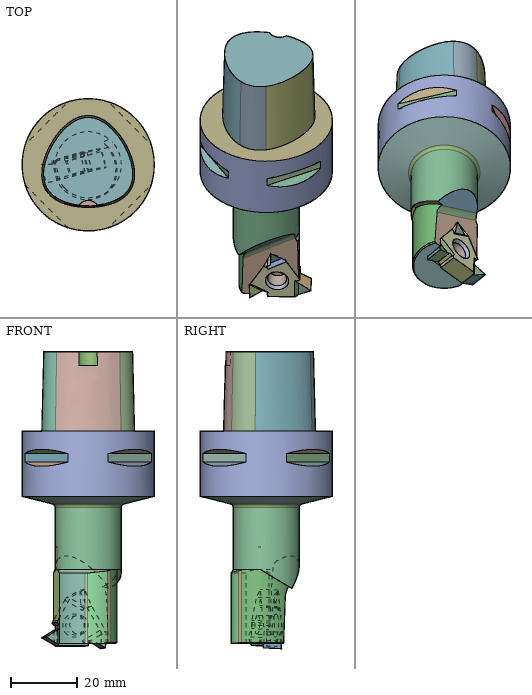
import cadquery as cq
import math

OVERALL_LENGTH = 89.6
SHANK_HEIGHT = 23.9
LOWEST_Z = SHANK_HEIGHT - OVERALL_LENGTH

SHANK_MEAN_RADIUS = 13.9
SHANK_LOBE_HEIGHT = 1.0
SHANK_TAPER = 1 / 40
LOBE_COUNT = 3
LOBE_HALF_ANGLE = 20
LOBE_ANGLE = 90
SPLINE_SPANS = 8
KEYWAY_RADIUS = 3.3
KEYWAY_TOP_Y = -10.8
KEYWAY_LENGTH = 4.1

FLANGE_RADIUS = 40.0 / 2
FLANGE_HEIGHT = 19.7
CONE_HEIGHT = 2.5
NECK_RADIUS = 20.0 / 2
NECK_FILLET = 1.1
GROOVE_COUNT = 4
GROOVE_START_ANGLE = 45
GROOVE_Z = -8.1
GROOVE_FLOOR_RADIUS = 17.75
GROOVE_FLOOR_HEIGHT = 2.5
GROOVE_WALL_ANGLE = 30

HEAD_RADIUS = 10.6
HEAD_TOP_Z = -41.8
HEAD_CHAMFER_HEIGHT = 1.1
HEAD_BOTTOM_Z = -64.1
TILT = 15
FLAT_DISTANCE = 9.95
FLAT_TOP_Z = -35.0
RELIEF_CENTER = (-1.3, -1.5)
RELIEF_RADIUS = 10.0
RELIEF_SLOPE_START_Y = -1.8
RELIEF_SLOPE = 0.6
RELIEF_BOTTOM_CHAMFER = 0.4
NECK_BOTTOM_Z = -49.3
MAIN_ARC_ANGLE = 240
FIRST_LAND_ANGLE = 265
SIDE_ARC = ((-0.2, -10.6), (3.0, -9.95), (5.8, -8.4))
SECOND_LAND_ANGLE = -36
RELIEF_ARC_END_ANGLE = 70
CLEARED_ARC_ANGLE = 130

LEAN = 2.5
INSERT_CENTER_S = -3.4
INSERT_CENTER_N = 3.85
INSERT_THICKNESS = 5.7
INSERT_HOLE_DIAMETER = 5.7
COUNTERSINK_DIAMETER = 7.0
COUNTERSINK_ANGLE = 60
TIP_COUNT = 3
TIP = (-10.2, -3.7)
TIP_ROOT_X = -6.0
TIP_UPPER_ROOT_Y = -1.2
TIP_LOWER_ROOT_Y = -6.3
NOTCH_Y = -0.1
SHOULDER_END = (-6.9, 0.7)
BREAKER_LENGTH = 3.8
BREAKER_DEPTH = 0.9
BREAKER_BACK = 1.2
POCKET_WALL_OFFSET = 13.8
POCKET_WALL_SLOPE = 29
POCKET_FILLET = 3.1
POCKET_FLOOR_RISE = -0.1
CUT = 35.9


def turned(point, angle):
    """Rotate a 2D point about the origin by an angle in degrees."""
    c = math.cos(math.radians(angle))
    s = math.sin(math.radians(angle))
    return (point[0] * c - point[1] * s, point[0] * s + point[1] * c)


def rake_plane():
    """Local X runs along the rake face, local Y up, local Z into the holder."""
    lowest_tip_drop = -turned(TIP, 360 / TIP_COUNT)[1] * math.cos(math.radians(LEAN))
    insert_center_z = LOWEST_Z + lowest_tip_drop
    along = turned((1, 0), TILT)
    center = turned((INSERT_CENTER_S, INSERT_CENTER_N), TILT)
    into = turned((0, -math.cos(math.radians(LEAN))), TILT)
    return cq.Plane(
        origin=(*center, insert_center_z),
        xDir=(*along, 0),
        normal=(*into, math.sin(math.radians(LEAN))),
    )


def shank_wire(z):
    """Three-lobed outline at height z, split where lobes and flanks meet."""
    radius = SHANK_MEAN_RADIUS - z * SHANK_TAPER

    def point(degrees):
        t = math.radians(degrees)
        x = radius * math.cos(t) - SHANK_LOBE_HEIGHT * math.sin(2 * t)
        y = radius * math.sin(t) - SHANK_LOBE_HEIGHT * math.cos(2 * t)
        return cq.Vector(x, y, z)

    pitch = 360 / LOBE_COUNT
    edges = []
    for i in range(LOBE_COUNT):
        lobe_start = LOBE_ANGLE + i * pitch - LOBE_HALF_ANGLE
        lobe_end = lobe_start + 2 * LOBE_HALF_ANGLE
        next_start = lobe_start + pitch
        for start, end in ((lobe_start, lobe_end), (lobe_end, next_start)):
            points = [point(start + (end - start) * k / SPLINE_SPANS) for k in range(SPLINE_SPANS + 1)]
            edges.append(cq.Edge.makeSpline(points))
    return cq.Wire.assembleEdges(edges)


def shank():
    """Tapered shank with a round keyway at its top edge."""
    body = cq.Workplane(cq.Solid.makeLoft([shank_wire(0), shank_wire(SHANK_HEIGHT)], True))
    keyway = (
        cq.Workplane("XY", origin=(0, KEYWAY_TOP_Y - KEYWAY_RADIUS, SHANK_HEIGHT))
        .circle(KEYWAY_RADIUS)
        .extrude(-KEYWAY_LENGTH)
    )
    return body.cut(keyway)


def flange_and_neck():
    cone_bottom = -FLANGE_HEIGHT - CONE_HEIGHT
    body = (
        cq.Workplane("XZ")
        .moveTo(0, 0)
        .lineTo(FLANGE_RADIUS, 0)
        .lineTo(FLANGE_RADIUS, -FLANGE_HEIGHT)
        .lineTo(NECK_RADIUS, cone_bottom)
        .lineTo(NECK_RADIUS, NECK_BOTTOM_Z)
        .lineTo(0, NECK_BOTTOM_Z)
        .close()
        .revolve(360, (0, 0, 0), (0, 1, 0))
    )
    cone_bottom_edge = cq.selectors.NearestToPointSelector((0, 0, cone_bottom))
    body = body.edges("%CIRCLE").edges(cone_bottom_edge).fillet(NECK_FILLET)
    for i in range(GROOVE_COUNT):
        body = body.cut(grip_groove(GROOVE_START_ANGLE + i * 360 / GROOVE_COUNT))
    return body


def grip_groove(angle):
    """Straight flat-bottomed groove with flared walls, across the flange rim."""
    depth = FLANGE_RADIUS - GROOVE_FLOOR_RADIUS
    floor_half = GROOVE_FLOOR_HEIGHT / 2
    rim_half = floor_half + depth * math.tan(math.radians(GROOVE_WALL_ANGLE))
    return (
        cq.Workplane("XZ", origin=(0, 0, GROOVE_Z))
        .polyline([
            (GROOVE_FLOOR_RADIUS, -floor_half),
            (FLANGE_RADIUS, -rim_half),
            (FLANGE_RADIUS, rim_half),
            (GROOVE_FLOOR_RADIUS, floor_half),
        ])
        .close()
        .extrude(FLANGE_RADIUS, both=True)
        .rotate((0, 0, 0), (0, 0, 1), angle)
    )


def relief_envelope():
    """Relieved round of the head, with everything above the relief's stepped and sloping end."""
    relieved = (
        cq.Workplane("XY", origin=(*RELIEF_CENTER, HEAD_BOTTOM_Z))
        .circle(RELIEF_RADIUS)
        .extrude(-HEAD_BOTTOM_Z)
    )
    slope_end_z = HEAD_TOP_Z - (CUT - RELIEF_SLOPE_START_Y) * RELIEF_SLOPE
    above = (
        cq.Workplane("YZ")
        .polyline([
            (-CUT, HEAD_TOP_Z),
            (RELIEF_SLOPE_START_Y, HEAD_TOP_Z),
            (CUT, slope_end_z),
            (CUT, SHANK_HEIGHT),
            (-CUT, SHANK_HEIGHT),
        ])
        .close()
        .extrude(CUT, both=True)
    )
    return relieved.union(above)


def head_section():
    """Head outline: clamping flat, main arc, land, side arc, land, relief arc."""
    angle_of_flat = math.degrees(math.acos(FLAT_DISTANCE / HEAD_RADIUS))
    flat_start = turned((-HEAD_RADIUS, 0), TILT - angle_of_flat)
    flat_end = turned((-HEAD_RADIUS, 0), TILT + angle_of_flat)

    def on_head(angle):
        return turned((HEAD_RADIUS, 0), angle)

    def on_relief(angle):
        x, y = turned((RELIEF_RADIUS, 0), angle)
        return (x + RELIEF_CENTER[0], y + RELIEF_CENTER[1])

    return (
        cq.Workplane("XY", origin=(0, 0, HEAD_BOTTOM_Z))
        .moveTo(*flat_start)
        .lineTo(*flat_end)
        .threePointArc(on_head(MAIN_ARC_ANGLE), on_head(FIRST_LAND_ANGLE))
        .lineTo(*SIDE_ARC[0])
        .threePointArc(*SIDE_ARC[1:])
        .lineTo(*on_relief(SECOND_LAND_ANGLE))
        .threePointArc(on_relief(0), on_relief(RELIEF_ARC_END_ANGLE))
        .threePointArc(on_head(CLEARED_ARC_ANGLE), flat_start)
        .close()
        .extrude(HEAD_TOP_Z - HEAD_BOTTOM_Z)
    )


def head():
    """Head section with a sloping top shoulder and a chamfered lower edge on the relief."""
    envelope = (
        cq.Workplane("XZ")
        .polyline([
            (0, HEAD_TOP_Z),
            (NECK_RADIUS, HEAD_TOP_Z),
            (HEAD_RADIUS, HEAD_TOP_Z - HEAD_CHAMFER_HEIGHT),
            (HEAD_RADIUS, HEAD_BOTTOM_Z),
            (0, HEAD_BOTTOM_Z),
        ])
        .close()
        .revolve(360, (0, 0, 0), (0, 1, 0))
    )
    relief_edge = cq.selectors.NearestToPointSelector(
        (RELIEF_CENTER[0] + RELIEF_RADIUS, RELIEF_CENTER[1], HEAD_BOTTOM_Z)
    )
    section = head_section().edges("<Z").edges(relief_edge).chamfer(RELIEF_BOTTOM_CHAMFER)
    return section.intersect(envelope)


def flat_cut():
    """Flat on the insert side, running up into the neck."""
    return (
        cq.Workplane("XY", origin=(0, 0, FLAT_TOP_Z))
        .rect(CUT, CUT)
        .extrude(HEAD_BOTTOM_Z - FLAT_TOP_Z)
        .translate((-FLAT_DISTANCE - CUT / 2, 0, 0))
        .rotate((0, 0, 0), (0, 0, 1), TILT)
    )


def chip_pocket():
    """Clears everything above the pocket floor, up to a sloping filleted end wall."""
    floor_plane = rake_plane().rotated((0, 0, -POCKET_WALL_SLOPE))
    section = cq.Plane(
        origin=floor_plane.origin,
        xDir=-floor_plane.zDir,
        normal=floor_plane.xDir,
    )
    return (
        cq.Workplane(section)
        .polyline([
            (POCKET_FLOOR_RISE, -CUT),
            (POCKET_FLOOR_RISE, POCKET_WALL_OFFSET),
            (POCKET_FLOOR_RISE + CUT / 2, POCKET_WALL_OFFSET + CUT / 2),
            (POCKET_FLOOR_RISE + CUT / 2, -CUT),
        ])
        .close()
        .extrude(CUT, both=True)
        .edges(cq.selectors.NearestToPointSelector(
            section.toWorldCoords((POCKET_FLOOR_RISE, POCKET_WALL_OFFSET, 0)).toTuple()
        ))
        .fillet(POCKET_FILLET)
    )


def insert_outline():
    """Three pointed tips joined by straight shoulders, about the insert centre."""
    one_tip = [
        SHOULDER_END,
        (TIP_ROOT_X, NOTCH_Y),
        (TIP_ROOT_X, TIP_UPPER_ROOT_Y),
        TIP,
        (TIP_ROOT_X, TIP_LOWER_ROOT_Y),
    ]
    return around_insert(one_tip)


def around_insert(one_tip):
    """Repeat the points of one tip around the insert centre."""
    pitch = 360 / TIP_COUNT
    return [turned(point, i * pitch) for i in range(TIP_COUNT) for point in one_tip]


def insert_seat():
    """Space for the insert and the opening above it, with clearance at the notches."""
    one_tip = [SHOULDER_END, TIP, (TIP_ROOT_X, TIP_LOWER_ROOT_Y)]
    return (
        cq.Workplane(rake_plane())
        .workplane(offset=-INSERT_THICKNESS)
        .polyline(around_insert(one_tip))
        .close()
        .extrude(2 * INSERT_THICKNESS)
    )


def chip_breaker(angle):
    """Wedge that slopes down from the cutting point and back up to the insert face."""
    return (
        cq.Workplane("XZ")
        .polyline([
            (TIP[0], 0),
            (TIP[0] + BREAKER_LENGTH, BREAKER_DEPTH),
            (TIP[0] + BREAKER_LENGTH + BREAKER_BACK, 0),
        ])
        .close()
        .extrude(BREAKER_LENGTH, both=True)
        .translate((0, TIP[1], 0))
        .rotate((0, 0, 0), (0, 0, 1), angle)
    )


def make_insert():
    body = cq.Workplane("XY").polyline(insert_outline()).close().extrude(INSERT_THICKNESS)
    body = body.faces("<Z").workplane(origin=(0, 0, 0)).cskHole(
        INSERT_HOLE_DIAMETER, COUNTERSINK_DIAMETER, COUNTERSINK_ANGLE
    )
    for i in range(TIP_COUNT):
        body = body.cut(chip_breaker(i * 360 / TIP_COUNT))
    return cq.Workplane(body.val().moved(rake_plane().location))


def make_holder():
    neck = flange_and_neck().intersect(relief_envelope())
    body = neck.union(head())
    body = body.union(shank())
    return body.cut(flat_cut()).cut(chip_pocket()).cut(insert_seat())


holder = make_holder()
insert = make_insert()

result = cq.Compound.makeCompound([holder.solids().val(), insert.solids().val()])